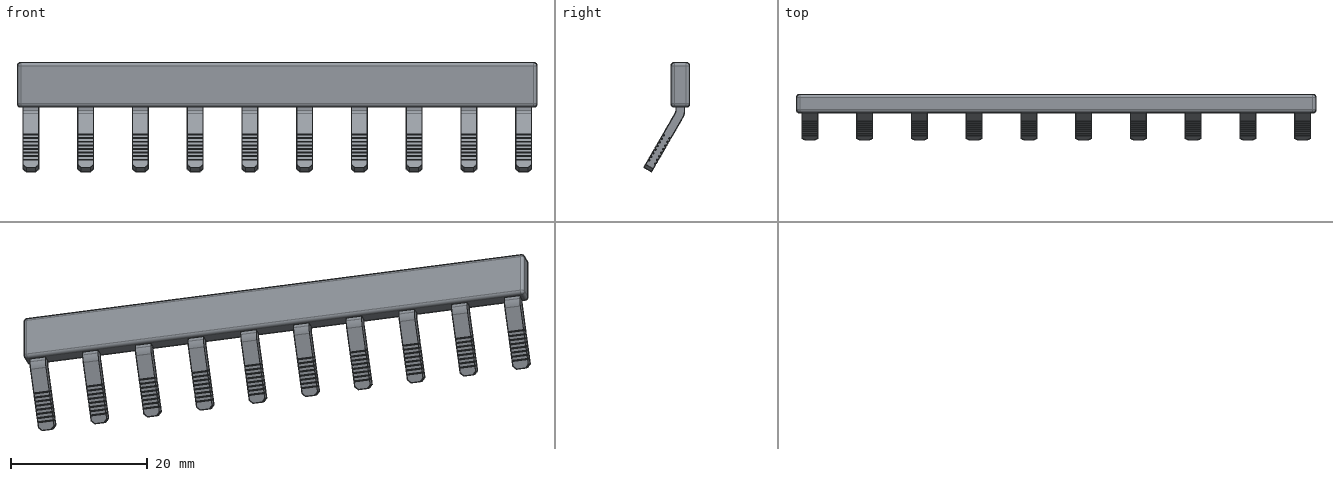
import cadquery as cq
import math

BAR_LENGTH = 76.0
BAR_DEPTH = 2.7
BAR_HEIGHT = 6.5
BAR_ROUND = 0.5

PIN_COUNT = 10
PIN_ROW_LENGTH = 72.05
PIN_PITCH = PIN_ROW_LENGTH / (PIN_COUNT - 1)
PIN_WIDTH = 2.35
PIN_THICKNESS = 1.3
LEG_LENGTH = 9.1

BEND_ANGLE = 30.0
BEND_INNER_RADIUS = 0.9
BEND_DROP = 0.45
PIN_EMBED = 0.75

GROOVE_COUNT = 8
GROOVE_PITCH = 0.6
GROOVE_WIDTH = 0.15
GROOVE_DEPTH = 0.2
FIRST_GROOVE = 3.5

TIP_CHAMFER = 0.5

SIN = math.sin(math.radians(BEND_ANGLE))
COS = math.cos(math.radians(BEND_ANGLE))
HALF_THICKNESS = PIN_THICKNESS / 2
BEND_OUTER_RADIUS = BEND_INNER_RADIUS + PIN_THICKNESS

BEND_CENTRE_Y = -HALF_THICKNESS - BEND_INNER_RADIUS
BEND_CENTRE_Z = -BEND_DROP


def bend_point(radius, angle):
    """Point (y, z) on the bend, at an angle in degrees from the start of the bend."""
    turn = math.radians(angle)
    return BEND_CENTRE_Y + radius * math.cos(turn), BEND_CENTRE_Z - radius * math.sin(turn)


def leg_point(along, radius):
    """Point (y, z) on the sloping leg, at a distance from the end of the bend."""
    y, z = bend_point(radius, BEND_ANGLE)
    return y - along * SIN, z - along * COS


def make_bar():
    bar = cq.Workplane("XY").box(BAR_LENGTH, BAR_DEPTH, BAR_HEIGHT, centered=(True, True, False))
    return bar.edges().fillet(BAR_ROUND)


def groove_cutter(face_radius, root_radius):
    """Row of narrow slots across one face of the leg."""
    grooves = cq.Workplane("YZ")
    for index in range(GROOVE_COUNT):
        upper = FIRST_GROOVE + index * GROOVE_PITCH
        lower = upper + GROOVE_WIDTH
        grooves = grooves.polyline([
            leg_point(upper, face_radius),
            leg_point(upper, root_radius),
            leg_point(lower, root_radius),
            leg_point(lower, face_radius),
        ]).close()
    return grooves.extrude(PIN_WIDTH / 2, both=True)


def make_pin():
    inner_middle = bend_point(BEND_INNER_RADIUS, BEND_ANGLE / 2)
    outer_middle = bend_point(BEND_OUTER_RADIUS, BEND_ANGLE / 2)
    pin = (
        cq.Workplane("YZ")
        .moveTo(-HALF_THICKNESS, PIN_EMBED)
        .lineTo(*bend_point(BEND_INNER_RADIUS, 0))
        .threePointArc(inner_middle, bend_point(BEND_INNER_RADIUS, BEND_ANGLE))
        .lineTo(*leg_point(LEG_LENGTH, BEND_INNER_RADIUS))
        .lineTo(*leg_point(LEG_LENGTH, BEND_OUTER_RADIUS))
        .lineTo(*bend_point(BEND_OUTER_RADIUS, BEND_ANGLE))
        .threePointArc(outer_middle, bend_point(BEND_OUTER_RADIUS, 0))
        .lineTo(HALF_THICKNESS, PIN_EMBED)
        .close()
        .extrude(PIN_WIDTH / 2, both=True)
    )
    end_face = pin.faces(cq.selectors.DirectionMinMaxSelector(cq.Vector(0, -SIN, -COS), True))
    pin = end_face.edges("not |X").chamfer(TIP_CHAMFER)
    pin = pin.cut(groove_cutter(BEND_INNER_RADIUS, BEND_INNER_RADIUS + GROOVE_DEPTH))
    return pin.cut(groove_cutter(BEND_OUTER_RADIUS, BEND_OUTER_RADIUS - GROOVE_DEPTH))


def pin_offset(index):
    """X position of a pin, with the row centred on the bar."""
    return (index - (PIN_COUNT - 1) / 2) * PIN_PITCH


result = make_bar()
single_pin = make_pin()
for pin_index in range(PIN_COUNT):
    result = result.union(single_pin.translate((pin_offset(pin_index), 0, 0)))